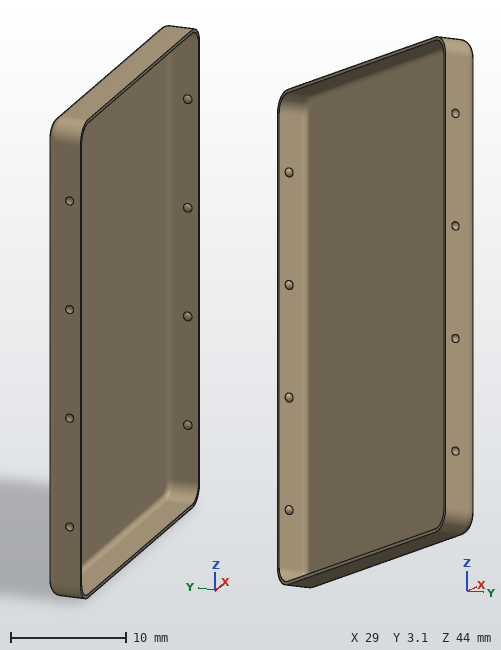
import cadquery as cq

width = 29.0
depth = 3.1
height = 44.0
wall = 0.3
corner_radius = 1.8
back_edge_radius = 0.8

dent_radius = 0.37
bump_radius = 0.4
pip_rise = 0.2
pip_spacing = 10.0
pip_count = 4
pip_from_rim = 1.0


def rounded_block(inset):
    """Block inset from the outer faces, with round corners and back edge and its rim at Y = 0."""
    return (
        cq.Workplane("XZ")
        .rect(width - 2 * inset, height - 2 * inset)
        .extrude(-(depth - inset))
        .edges("|Y")
        .fillet(corner_radius - inset)
        .faces(">Y")
        .edges()
        .fillet(back_edge_radius - inset)
    )


def spherical_cap(base_radius):
    """Spherical cap standing on the plane X = 0 and rising towards +X."""
    sphere_radius = (base_radius**2 + pip_rise**2) / (2 * pip_rise)
    return (
        cq.Workplane("XZ")
        .lineTo(0, base_radius)
        .radiusArc((pip_rise, 0), sphere_radius)
        .close()
        .revolve(360, (0, 0), (1, 0))
    )


def press_pip(tray, z):
    """Press one pip into each long wall at height z."""
    outer_face_x = -width / 2
    bump = spherical_cap(bump_radius).translate((outer_face_x + wall, pip_from_rim, z))
    dent = spherical_cap(dent_radius).translate((outer_face_x, pip_from_rim, z))
    tray = tray.union(bump).union(bump.mirror("YZ"))
    return tray.cut(dent).cut(dent.mirror("YZ"))


result = rounded_block(0).cut(rounded_block(wall))
lowest_pip_z = -pip_spacing * (pip_count - 1) / 2
for index in range(pip_count):
    result = press_pip(result, lowest_pip_z + index * pip_spacing)